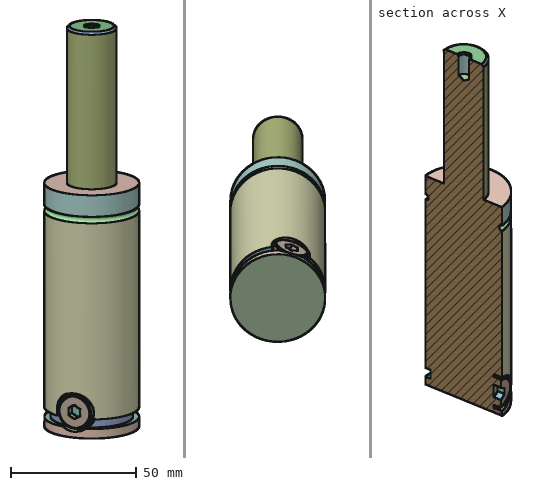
import cadquery as cq
import math

total_height = 166.0
body_height = 101.0

body_radius = 38.0 / 2
rod_radius = 20.0 / 2
rod_chamfer = 1.0

base_flange_height = 4.0
base_groove_width = 4.0
base_groove_depth = 2.5

ring_groove_radius = 1.3
ring_groove_z = 90.6

rod_hole_diameter = 5.0
rod_hole_mouth_diameter = 6.3
rod_hole_depth = 10.0
drill_tip_angle = 118.0

plug_z = 10.5
spotface_diameter = 16.0
plug_diameter = 14.0
plug_chamfer = 0.5
plug_face_y = -18.5
spotface_y = -15.0
plug_root_y = -13.3
hex_across_flats = 5.0
hex_depth = 4.2


def make_cylinder_body():
    """Revolve the body and rod, including both grooves."""
    groove_floor_radius = body_radius - base_groove_depth
    groove_top_z = base_flange_height + base_groove_width
    profile = (
        cq.Workplane("XZ")
        .moveTo(0, 0)
        .lineTo(body_radius, 0)
        .lineTo(body_radius, base_flange_height)
        .lineTo(groove_floor_radius, base_flange_height)
        .lineTo(groove_floor_radius, groove_top_z)
        .lineTo(body_radius, groove_top_z)
        .lineTo(body_radius, ring_groove_z - ring_groove_radius)
        .threePointArc(
            (body_radius - ring_groove_radius, ring_groove_z),
            (body_radius, ring_groove_z + ring_groove_radius),
        )
        .lineTo(body_radius, body_height)
        .lineTo(rod_radius, body_height)
        .lineTo(rod_radius, total_height - rod_chamfer)
        .lineTo(rod_radius - rod_chamfer, total_height)
        .lineTo(0, total_height)
        .close()
    )
    return profile.revolve(360, (0, 0, 0), (0, 1, 0))


def make_rod_hole():
    """Blind hole with a 45 degree mouth chamfer and a conical drill tip."""
    hole_radius = rod_hole_diameter / 2
    mouth_radius = rod_hole_mouth_diameter / 2
    mouth_depth = mouth_radius - hole_radius
    tip_height = hole_radius / math.tan(math.radians(drill_tip_angle / 2))
    floor_z = total_height - rod_hole_depth
    profile = (
        cq.Workplane("XZ")
        .moveTo(0, total_height)
        .lineTo(mouth_radius, total_height)
        .lineTo(hole_radius, total_height - mouth_depth)
        .lineTo(hole_radius, floor_z)
        .lineTo(0, floor_z - tip_height)
        .close()
    )
    return profile.revolve(360, (0, 0, 0), (0, 1, 0))


def plug_plane(y):
    """Plane at the given Y, centred on the plug axis and facing -Y."""
    return cq.Workplane("XZ", origin=(0, y, plug_z))


def make_spotface():
    """Round cut that clears the body wall around the plug."""
    cut_length = spotface_y + body_radius
    return plug_plane(spotface_y).circle(spotface_diameter / 2).extrude(cut_length)


def make_plug():
    """Chamfered plug with a round collar and a hexagonal socket."""
    hex_across_corners = hex_across_flats / math.cos(math.radians(30))
    collar = (
        plug_plane(plug_root_y)
        .circle(spotface_diameter / 2)
        .extrude(plug_root_y - spotface_y)
    )
    plug = (
        plug_plane(plug_root_y)
        .circle(plug_diameter / 2)
        .extrude(plug_root_y - plug_face_y)
        .faces("<Y")
        .chamfer(plug_chamfer)
    )
    socket = (
        plug_plane(plug_face_y)
        .transformed(rotate=(0, 0, 30))
        .polygon(6, hex_across_corners)
        .extrude(-hex_depth)
    )
    return collar.union(plug).cut(socket)


result = (
    make_cylinder_body()
    .cut(make_rod_hole())
    .cut(make_spotface())
    .union(make_plug())
)